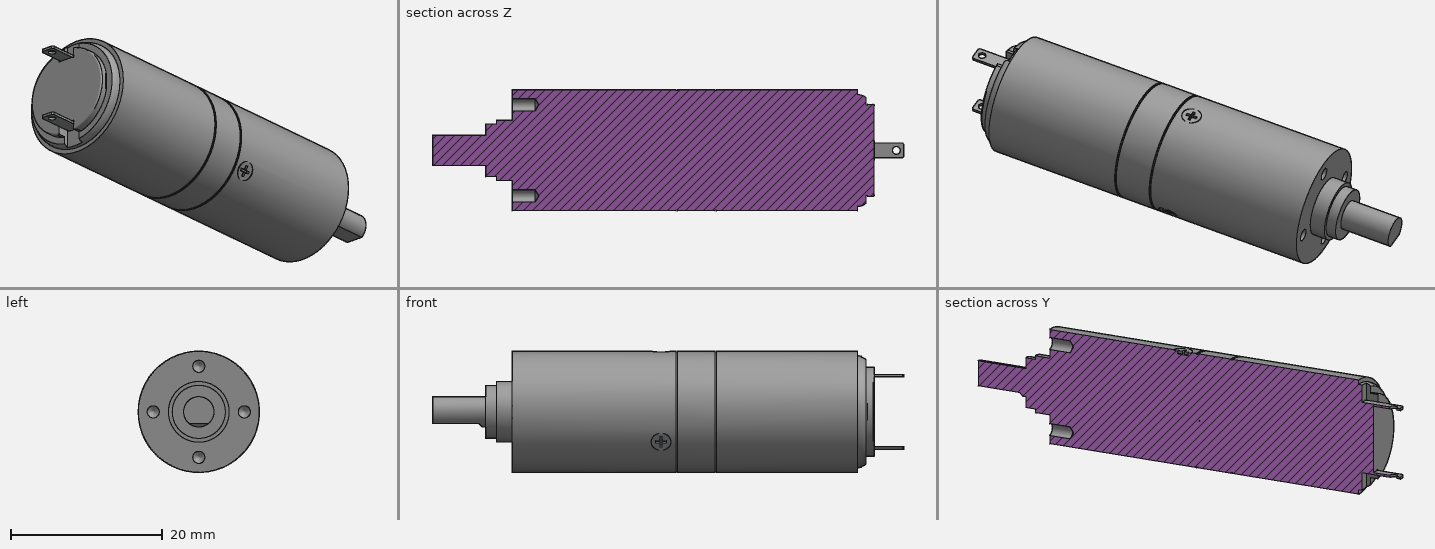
import cadquery as cq
import math

full_turn = 360

body_start = 10.5
pilot_start = 8.4
bearing_start = 7.0
seam_stations = (32.2, 37.3)
body_end = 56.0
shoulder_end = 57.1
cap_end = 58.2
overall_length = 62.1

shaft_radius = 2.0
bearing_radius = 3.5
pilot_radius = 4.0
body_radius = 8.0
shoulder_radius = 7.4
shoulder_end_radius = 7.0
cap_radius = 6.1

cap_fillet = 0.2

seam_width = 0.2
seam_depth = 0.1

flat_height = 1.55
flat_length = 6.1
flat_runout = shaft_radius - flat_height

mount_hole_count = 4
mount_hole_radius = 0.8
mount_circle_radius = 6.0
mount_hole_depth = 3.0
drill_tip_angle = 118

screw_count = 3
screw_station = 30.1
screw_head_radius = 1.3
screw_face_height = 7.9
cross_length = 1.5
cross_width = 0.3
cross_depth = 0.4

terminal_start = 56.5
terminal_offset = 4.77
terminal_width = 2.0
terminal_thickness = 0.35
terminal_corner = 0.2
terminal_hole_radius = 0.5
terminal_hole_inset = 1.0
pocket_width = 2.5

cap_flat_height = 5.88

cap_notch_width = 0.2
cap_notch_height = 6.0


def disc(start, end, radius):
    """Cylinder about the X axis between two stations."""
    return cq.Workplane("YZ", origin=(start, 0, 0)).circle(radius).extrude(end - start)


def block(x_range, y_range, z_range):
    """Box spanning the given ranges."""
    spans = (x_range, y_range, z_range)
    lengths = [high - low for low, high in spans]
    corner = cq.Vector(*[low for low, high in spans])
    return cq.Workplane("XY").box(*lengths, centered=False).translate(corner)


def shoulder():
    """Rear step whose rim curves inward, starting parallel to the axis."""
    length = shoulder_end - body_end
    drop = shoulder_radius - shoulder_end_radius
    rim_radius = (length**2 + drop**2) / (2 * drop)
    return (
        cq.Workplane("XZ")
        .moveTo(body_end, 0)
        .lineTo(body_end, shoulder_radius)
        .radiusArc((shoulder_end, shoulder_end_radius), rim_radius)
        .lineTo(shoulder_end, 0)
        .close()
        .revolve(full_turn, (0, 0, 0), (1, 0, 0))
    )


def turned_body():
    """Shaft, front steps, main cylinder and rear steps."""
    cap = disc(shoulder_end, cap_end, cap_radius).edges(">X").fillet(cap_fillet)
    return (
        disc(0, bearing_start, shaft_radius)
        .union(disc(bearing_start, pilot_start, bearing_radius))
        .union(disc(pilot_start, body_start, pilot_radius))
        .union(disc(body_start, body_end, body_radius))
        .union(shoulder())
        .union(cap)
    )


def seam_groove(station):
    """Thin ring removed from the body's surface."""
    start = station - seam_width / 2
    end = station + seam_width / 2
    return disc(start, end, body_radius).cut(disc(start, end, body_radius - seam_depth))


def shaft_flat():
    """Material below the shaft flat, ending in a sloped run-out."""
    return (
        cq.Workplane("XZ")
        .moveTo(0, -flat_height)
        .lineTo(flat_length, -flat_height)
        .lineTo(flat_length + flat_runout, -shaft_radius)
        .lineTo(0, -shaft_radius)
        .close()
        .extrude(shaft_radius, both=True)
    )


def mount_hole(angle):
    """Blind drilled hole with a conical bottom."""
    tip_depth = mount_hole_radius / math.tan(math.radians(drill_tip_angle / 2))
    hole_bottom = body_start + mount_hole_depth
    return (
        cq.Workplane("XZ")
        .moveTo(body_start, 0)
        .lineTo(body_start, mount_hole_radius)
        .lineTo(hole_bottom, mount_hole_radius)
        .lineTo(hole_bottom + tip_depth, 0)
        .close()
        .revolve(full_turn, (0, 0, 0), (1, 0, 0))
        .translate((0, 0, mount_circle_radius))
        .rotate((0, 0, 0), (1, 0, 0), angle)
    )


def screw_recess(angle):
    """Flat screw face and its cross slot, turned to the given angle."""
    face = cq.Workplane("XY", origin=(screw_station, 0, screw_face_height))
    head = face.circle(screw_head_radius).extrude(body_radius - screw_face_height)
    cross = face.rect(cross_length, cross_width).extrude(-cross_depth)
    cross = cross.union(face.rect(cross_width, cross_length).extrude(-cross_depth))
    return head.union(cross).rotate((0, 0, 0), (1, 0, 0), angle)


def terminal(side):
    """Pierced solder tab above (side = 1) or below (side = -1) the axis."""
    length = overall_length - terminal_start
    middle = (terminal_start + overall_length) / 2
    tab = (
        cq.Workplane("XY", origin=(middle, 0, side * terminal_offset))
        .box(length, terminal_width, terminal_thickness)
        .edges("|Z and >X")
        .chamfer(terminal_corner)
    )
    hole_station = overall_length - terminal_hole_inset
    hole = (
        cq.Workplane("XY", origin=(hole_station, 0, side * terminal_offset))
        .circle(terminal_hole_radius)
        .extrude(terminal_thickness, both=True)
    )
    return tab.cut(hole)


def terminal_pocket(side):
    """Rear slot, open outward, whose floor carries a terminal."""
    floor = terminal_offset - terminal_thickness / 2
    z_range = sorted((side * floor, side * body_radius))
    half_width = pocket_width / 2
    return block((terminal_start, cap_end), (-half_width, half_width), z_range)


def cap_flat(side):
    """Shallow flat along the cap on the +Z (side = 1) or -Z (side = -1) side."""
    z_range = sorted((side * cap_flat_height, side * cap_radius))
    return block((shoulder_end, cap_end), (-cap_radius, cap_radius), z_range)


def cap_notch(side):
    """Flat relief on the +Y (side = 1) or -Y (side = -1) side of the cap."""
    y_range = sorted((side * cap_notch_height, side * cap_radius))
    x_range = (shoulder_end, shoulder_end + cap_notch_width)
    return block(x_range, y_range, (-cap_radius, cap_radius))


result = turned_body().cut(shaft_flat())

for station in seam_stations:
    result = result.cut(seam_groove(station))

for index in range(mount_hole_count):
    result = result.cut(mount_hole(index * full_turn / mount_hole_count))

for index in range(screw_count):
    result = result.cut(screw_recess(index * full_turn / screw_count))

for side in (1, -1):
    result = result.cut(cap_flat(side))
    result = result.cut(terminal_pocket(side))
    result = result.union(terminal(side))
    result = result.cut(cap_notch(side))